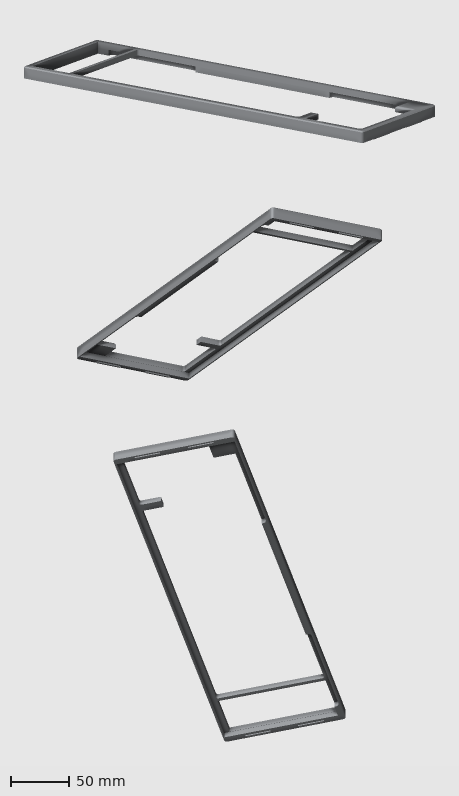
import cadquery as cq

length = 360.61
width = 108.2
body_height = 10.5
foot_height = 1.0

rim_width = 5.9
rim_thickness = 5.2
skirt_thickness = 1.2
corner_radius = 2.5
top_chamfer = 1.0
opening_radius = 2.0

bar_left = -135.3
bar_width = 3.2

tongue_left = 108.0
tongue_width = 7.6
tongue_reach = 19.2
tongue_tip_fillet = 1.0
tongue_root_radius = 2.0

plate_size = 19.5
plate_edge_fillet = 2.3

wall_setback = 0.2
back_block_length = 142.0
corner_block_length = 17.0
block_end_radius = 3.0

foot_length = 23.0
foot_width = 1.8
foot_inset = 1.5
foot_pitch = 47.7

joint_overlap = 2.0

half_length = length / 2
half_width = width / 2
inner_x = half_length - rim_width
inner_y = half_width - rim_width
rim_bottom = body_height - rim_thickness


def box(x_min, x_max, y_min, y_max, z_min, z_max):
    """Box given by its limits along each axis."""
    return cq.Workplane("XY").box(
        x_max - x_min, y_max - y_min, z_max - z_min, centered=False
    ).translate((x_min, y_min, z_min))


def make_shell():
    """Solid outer block with rounded corners and a chamfered top edge."""
    shell = box(-half_length, half_length, -half_width, half_width, 0, body_height)
    return shell.edges("|Z").fillet(corner_radius).faces(">Z").chamfer(top_chamfer)


def make_openings():
    """Small and large through openings inside the rim."""
    small = box(-inner_x, bar_left, -inner_y, inner_y, 0, body_height)
    large = box(bar_left + bar_width, inner_x, -inner_y, inner_y, 0, body_height)
    return small.union(large.edges("|Z").fillet(opening_radius))


def make_tongue():
    """Tongue growing from the -Y rim, with hollow rounded roots and a rounded top edge at its tip."""
    tongue_right = tongue_left + tongue_width
    base_left = tongue_left - tongue_root_radius
    base_right = tongue_right + tongue_root_radius
    shoulder_y = tongue_root_radius - inner_y
    base_y = -inner_y - joint_overlap
    tongue = (
        cq.Workplane("XY", origin=(0, 0, rim_bottom))
        .moveTo(base_left, base_y)
        .lineTo(base_right, base_y)
        .lineTo(base_right, -inner_y)
        .radiusArc((tongue_right, shoulder_y), tongue_root_radius)
        .lineTo(tongue_right, tongue_reach - inner_y)
        .lineTo(tongue_left, tongue_reach - inner_y)
        .lineTo(tongue_left, shoulder_y)
        .radiusArc((base_left, -inner_y), tongue_root_radius)
        .close()
        .extrude(rim_thickness)
    )
    return tongue.faces(">Y").edges(">Z").fillet(tongue_tip_fillet)


def make_corner_plate():
    """Square plate in the +X +Y corner, rounded along its two free top edges."""
    plate = box(
        inner_x - plate_size, inner_x + joint_overlap,
        inner_y - plate_size, inner_y + joint_overlap, rim_bottom, body_height,
    )
    free_edges = plate.faces(">Z").edges("<X or <Y")
    return free_edges.fillet(plate_edge_fillet)


def make_cavity():
    """Recess under the rim, leaving the skirt, the end walls and the back blocks."""
    cavity_x = inner_x + wall_setback
    cavity_y = half_width - skirt_thickness
    block_y = inner_y + wall_setback
    corner_block_end = corner_block_length - half_length
    back_block_end = back_block_length / 2
    cavity = box(-cavity_x, cavity_x, -cavity_y, cavity_y, 0, rim_bottom)
    for start, end in ((-cavity_x, corner_block_end), (-back_block_end, back_block_end)):
        cavity = cavity.cut(box(start, end, block_y, cavity_y, 0, rim_bottom))
    for root_x in (corner_block_end, -back_block_end, back_block_end):
        root = cq.selectors.NearestToPointSelector((root_x, cavity_y, rim_bottom / 2))
        cavity = cavity.edges("|Z").edges(root).fillet(block_end_radius)
    return cavity


def make_feet():
    """Four bar feet, two under each end wall."""
    foot_x = half_length - foot_inset - foot_width / 2
    feet = cq.Workplane("XY").rarray(2 * foot_x, foot_pitch, 2, 2)
    return feet.rect(foot_width, foot_length).extrude(-foot_height)


frame = make_shell().cut(make_openings()).cut(make_cavity())
result = frame.union(make_tongue()).union(make_corner_plate()).union(make_feet())